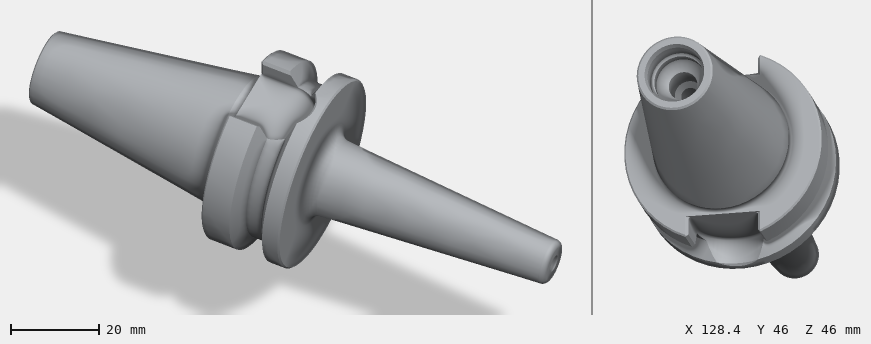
import cadquery as cq
import math

length = 128.4
taper_end = 48.4
neck_end = 49.5
flange_start = 50.5
groove_entry = 57.7
groove_start = 60.0
groove_end = 63.8
groove_exit = 65.9
flange_end = 70.1
nose_start = 73.2

taper_ratio = 7 / 48
taper_radius = 31.7 / 2
taper_small_radius = taper_radius - taper_ratio * taper_end
taper_edge = 0.4
neck_radius = 31.2 / 2
neck_fillet = 0.8
flange_radius = 46.0 / 2
flange_edge = 0.4
groove_radius = 19.0
nose_root_radius = 9.1
nose_tip_radius = 5.3
nose_edge = 1.4
nose_flank_radius = nose_root_radius - (
    (nose_root_radius - nose_tip_radius) * (length - nose_edge - nose_start) / (length - nose_start)
)
nose_fillet = nose_start - flange_end

arc_gap = 1 - math.sqrt(0.5)

lead_in_radius = 6.9
lead_in_depth = 1.4
mouth_radius = 13.1 / 2
mouth_depth = 5.3
socket_radius = 5.9
socket_depth = 7.7
pilot_radius = 3.3
pilot_depth = 15.4
through_radius = 4.0 / 2
drill_slope = math.tan(math.radians(30))

slot_half_width = 8.1
slot_floor = 16.5
slot_tip = 67.4
slot_edge = 0.6
tip_bevel = 0.5
floor_fillet = 0.5


def make_body():
    return (
        cq.Workplane("XY")
        .moveTo(0, 0)
        .lineTo(0, taper_small_radius - taper_edge)
        .lineTo(taper_edge, taper_small_radius + taper_ratio * taper_edge)
        .lineTo(taper_end, taper_radius)
        .lineTo(neck_end, neck_radius)
        .lineTo(flange_start - neck_fillet, neck_radius)
        .threePointArc(
            (flange_start - neck_fillet * arc_gap, neck_radius + neck_fillet * arc_gap),
            (flange_start, neck_radius + neck_fillet),
        )
        .lineTo(flange_start, flange_radius - flange_edge)
        .lineTo(flange_start + flange_edge, flange_radius)
        .lineTo(groove_entry, flange_radius)
        .lineTo(groove_start, groove_radius)
        .lineTo(groove_end, groove_radius)
        .lineTo(groove_exit, flange_radius)
        .lineTo(flange_end - flange_edge, flange_radius)
        .lineTo(flange_end, flange_radius - flange_edge)
        .lineTo(flange_end, nose_root_radius + nose_fillet)
        .threePointArc(
            (flange_end + nose_fillet * arc_gap, nose_root_radius + nose_fillet * arc_gap),
            (nose_start, nose_root_radius),
        )
        .lineTo(length - nose_edge, nose_flank_radius)
        .threePointArc(
            (length - nose_edge * arc_gap, nose_flank_radius - nose_edge * arc_gap),
            (length, nose_flank_radius - nose_edge),
        )
        .lineTo(length, 0)
        .close()
        .revolve(360, (0, 0, 0), (1, 0, 0))
    )


def make_bore():
    socket_tip = socket_depth + (socket_radius - pilot_radius) * drill_slope
    pilot_tip = pilot_depth + (pilot_radius - through_radius) * drill_slope
    mouth_tip = mouth_depth + (mouth_radius - socket_radius) * drill_slope
    profile = [
        (0, 0),
        (0, lead_in_radius),
        (lead_in_depth, mouth_radius),
        (mouth_depth, mouth_radius),
        (mouth_tip, socket_radius),
        (socket_depth, socket_radius),
        (socket_tip, pilot_radius),
        (pilot_depth, pilot_radius),
        (pilot_tip, through_radius),
        (length, through_radius),
        (length, 0),
    ]
    return cq.Workplane("XY").polyline(profile).close().revolve(360, (0, 0, 0), (1, 0, 0))


def make_slot():
    """Round-ended drive slot on the +Z side, with bevelled entry and rim edges."""
    height = flange_radius - slot_floor
    arc_center = slot_tip - slot_half_width
    slot = (
        cq.Workplane("XY", origin=(0, 0, slot_floor))
        .moveTo(flange_start, -slot_half_width)
        .lineTo(arc_center, -slot_half_width)
        .threePointArc((slot_tip, 0), (arc_center, slot_half_width))
        .lineTo(flange_start, slot_half_width)
        .close()
        .extrude(height)
        .edges("<Z")
        .edges("not <X")
        .fillet(floor_fillet)
    )
    wide = slot_half_width + slot_edge
    entry_bevel = (
        cq.Workplane("XY", origin=(0, 0, slot_floor))
        .polyline([
            (flange_start, -wide),
            (flange_start + slot_edge, -slot_half_width),
            (flange_start + slot_edge, slot_half_width),
            (flange_start, wide),
        ])
        .close()
        .extrude(height)
    )
    rim_height = math.sqrt(flange_radius**2 - wide**2)
    rim_bevel = (
        cq.Workplane("YZ", origin=(flange_start, 0, 0))
        .polyline([
            (-slot_half_width, rim_height - slot_edge),
            (slot_half_width, rim_height - slot_edge),
            (wide, rim_height),
            (wide, flange_radius),
            (-wide, flange_radius),
            (-wide, rim_height),
        ])
        .close()
        .extrude(groove_start - flange_start)
    )
    tip_cone = (
        cq.Workplane("XY", origin=(arc_center, 0, flange_radius - tip_bevel))
        .circle(slot_half_width)
        .workplane(offset=tip_bevel)
        .circle(slot_half_width + tip_bevel)
        .loft()
    )
    return slot.union(entry_bevel).union(rim_bevel).union(tip_cone)


slot = make_slot()
opposite_slot = slot.mirror("XY")
result = make_body().cut(make_bore()).cut(slot).cut(opposite_slot)